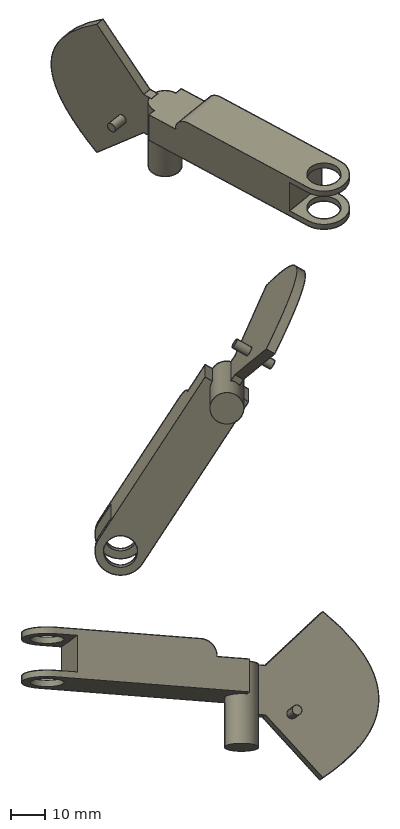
import cadquery as cq

total_length = 109.5
arm_width = 15.0
neck_top = arm_width / 2

post_diameter = 10.0
post_axis_x = 41.9
post_height = 25.0

arm_low_height = 10.0
step_radius = 5.0
step_x = post_axis_x + post_diameter
arm_bottom = neck_top - arm_low_height
arm_top = neck_top + step_radius
eye_diameter = 10.0
eye_x = total_length - arm_width / 2
lug_thickness = 2.0
fork_x = 95.1

plate_thickness = 3.0
plate_height = 50.2
tip_x = 17.3
neck_x = 35.0
plate_end_x = 38.0

pin_diameter = 3.0
pin_length = 13.0
pin_x = 26.9
pin_z = -6.6


def make_plate_blank():
    """Sector plate with a parabolic outer edge and a straight neck."""
    tip_z = plate_height / 2
    return (
        cq.Workplane("XZ", origin=(0, plate_thickness / 2, 0))
        .moveTo(tip_x, -tip_z)
        .lineTo(neck_x, -neck_top)
        .lineTo(plate_end_x, -neck_top)
        .lineTo(plate_end_x, neck_top)
        .lineTo(neck_x, neck_top)
        .lineTo(tip_x, tip_z)
        .bezier([(-tip_x, 0), (tip_x, -tip_z)], includeCurrent=True)
        .close()
        .extrude(plate_thickness)
    )


def make_pin():
    """Round pin across the plate."""
    return (
        cq.Workplane("XZ", origin=(pin_x, pin_length / 2, pin_z))
        .circle(pin_diameter / 2)
        .extrude(pin_length)
    )


def make_arm_bar():
    """Stepped bar with a rounded far end."""
    side_profile = (
        cq.Workplane("XZ")
        .moveTo(post_axis_x, arm_bottom)
        .lineTo(total_length, arm_bottom)
        .lineTo(total_length, arm_top)
        .lineTo(step_x + step_radius, arm_top)
        .radiusArc((step_x, neck_top), -step_radius)
        .lineTo(post_axis_x, neck_top)
        .close()
        .extrude(arm_width / 2, both=True)
    )
    plan_outline = (
        cq.Workplane("XY", origin=(0, 0, arm_bottom))
        .moveTo(post_axis_x, -arm_width / 2)
        .lineTo(eye_x, -arm_width / 2)
        .threePointArc((total_length, 0), (eye_x, arm_width / 2))
        .lineTo(post_axis_x, arm_width / 2)
        .close()
        .extrude(arm_top - arm_bottom)
    )
    return side_profile.intersect(plan_outline)


def make_post():
    """Vertical post hanging from the low end of the arm."""
    return (
        cq.Workplane("XY", origin=(post_axis_x, 0, neck_top))
        .circle(post_diameter / 2)
        .extrude(-post_height)
    )


def make_fork_gap():
    """Space between the two lugs at the far end."""
    gap_length = total_length - fork_x
    gap_height = arm_top - arm_bottom - 2 * lug_thickness
    return (
        cq.Workplane("XY", origin=(fork_x, 0, arm_bottom + lug_thickness))
        .box(gap_length, arm_width, gap_height, centered=(False, True, False))
    )


def make_eye_hole():
    """Hole through both lugs."""
    return (
        cq.Workplane("XY", origin=(eye_x, 0, arm_bottom))
        .circle(eye_diameter / 2)
        .extrude(arm_top - arm_bottom)
    )


pin = make_pin()
plate_blank = make_plate_blank()
plate = plate_blank.cut(pin)
arm = make_arm_bar().union(make_post()).cut(make_fork_gap()).cut(make_eye_hole()).cut(plate_blank)

result = cq.Compound.makeCompound([arm.val(), plate.val(), pin.val()])